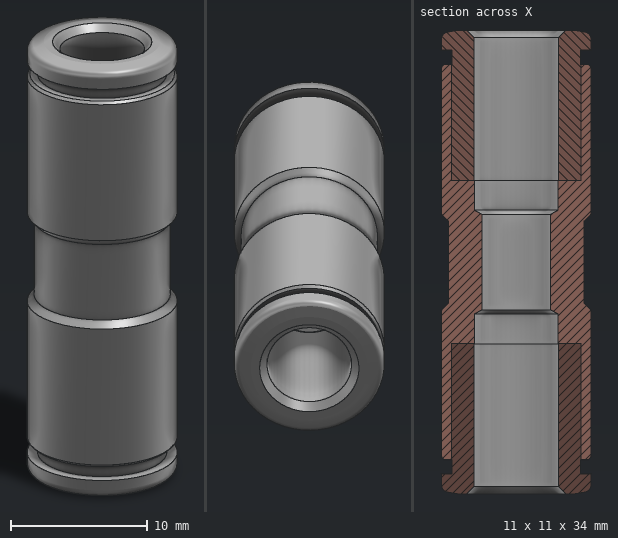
import cadquery as cq

total_length = 34.0
outer_radius = 11.0 / 2
half_length = total_length / 2

neck_radius = 10.0 / 2
neck_half_length = 3.0
shoulder_chamfer = outer_radius - neck_radius
housing_half_length = 14.5
rim_chamfer = 0.2
through_radius = 5.0 / 2
tube_stop_radius = 6.1 / 2
tube_stop_cone_depth = 0.3
tube_stop_z = 3.5

sleeve_radius = 9.5 / 2
sleeve_bore_radius = 6.2 / 2
sleeve_inner_end_z = 6.0
flange_thickness = 1.5
flat_face_radius = 8.55 / 2
round_start_radius = 5.1
crown_drop = 0.15
flange_round_depth = 0.68
mouth_radius = 7.28 / 2
mouth_chamfer = mouth_radius - sleeve_bore_radius

AXIS_START = (0, 0)
AXIS_END = (0, 1)


def revolve_profile(profile):
    """Turn a closed (radius, z) profile about the Z axis."""
    return profile.close().revolve(360, AXIS_START, AXIS_END)


def mirror_points(upper_points):
    """Extend points listed outward from mid-length to both halves, bottom to top."""
    lower_points = [(radius, -z) for radius, z in reversed(upper_points)]
    return lower_points + upper_points


def make_housing():
    outer_half = [
        (neck_radius, neck_half_length),
        (outer_radius, neck_half_length + shoulder_chamfer),
        (outer_radius, housing_half_length - rim_chamfer),
        (outer_radius - rim_chamfer, housing_half_length),
    ]
    bore_half = [
        (through_radius, tube_stop_z),
        (tube_stop_radius, tube_stop_z + tube_stop_cone_depth),
        (tube_stop_radius, sleeve_inner_end_z),
        (sleeve_radius, sleeve_inner_end_z),
        (sleeve_radius, housing_half_length),
    ]
    outline = mirror_points(outer_half) + mirror_points(bore_half)[::-1]
    return revolve_profile(cq.Workplane("XZ").polyline(outline))


def make_sleeve(end):
    """Flanged sleeve at the top (end = 1) or bottom (end = -1) of the housing."""
    flange_z = half_length - flange_thickness
    profile = (
        cq.Workplane("XZ")
        .moveTo(sleeve_bore_radius, sleeve_inner_end_z)
        .lineTo(sleeve_radius, sleeve_inner_end_z)
        .lineTo(sleeve_radius, flange_z)
        .lineTo(outer_radius, flange_z)
        .lineTo(outer_radius, half_length - flange_round_depth)
        .tangentArcPoint((round_start_radius, half_length - crown_drop), relative=False)
        .lineTo(flat_face_radius, half_length)
        .lineTo(mouth_radius, half_length)
        .lineTo(sleeve_bore_radius, half_length - mouth_chamfer)
    )
    sleeve = revolve_profile(profile)
    return sleeve if end > 0 else sleeve.mirror("XY")


housing = make_housing()
sleeves = [make_sleeve(end) for end in (1, -1)]

result = cq.Compound.makeCompound([housing.val(), *[sleeve.val() for sleeve in sleeves]])